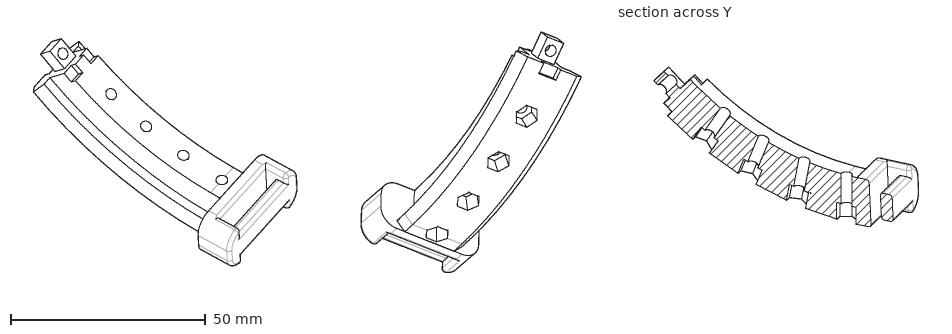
import cadquery as cq
import math

inner_radius = 70.0
strap_height = 14.0
outer_radius = inner_radius + strap_height
web_width = 10.0
flange_width = 20.0
flange_face_width = 15.0
flange_thickness = 5.0
free_end_angle = 40
buckle_angle = -2.5

hole_diameter = 3.0
hole_pitch_angle = 10
hole_count = 4
nut_sides = 6
nut_across_flats = 5.5
nut_pocket_depth = flange_thickness

tenon_length = 6.0
tenon_width = 5.0
tenon_thickness = 4.7
tenon_offset = 4.7

recess_length = 3.0
recess_depth = 2.0
ridge_width = 3.6
pocket_width = 5.2

buckle_length = 10.05
buckle_width = 30.0
buckle_corner_radius = 5.0
window_width = buckle_width - 2 * buckle_corner_radius
window_length = 3.0
window_start = 3.5
bar_drop = 3.0
edge_radius = 1.0

middle_radius = (inner_radius + outer_radius) / 2

clearance = 0.7


def turn_to(shape, angle):
    """Turn a shape made below the sweep axis; positive angles go toward the free end."""
    return shape.rotate((0, 0, 0), (0, 1, 0), angle)


def block(x_start, x_end, width, z_low, z_high, y_center=0):
    """Axis-aligned block, centred across Y on y_center."""
    return (
        cq.Workplane("XY")
        .box(x_end - x_start, width, z_high - z_low, centered=(False, True, False))
        .translate((x_start, y_center, z_low))
    )


def strap():
    """Curved length from the low point to the free end, and a short straight one to the buckle."""
    flange_middle = outer_radius - flange_thickness / 2
    flange_top = outer_radius - flange_thickness
    half_section = [
        (flange_face_width / 2, -outer_radius),
        (flange_width / 2, -flange_middle),
        (flange_face_width / 2, -flange_top),
        (web_width / 2, -flange_top),
        (web_width / 2, -inner_radius),
    ]
    mirrored = [(-y, z) for y, z in reversed(half_section)]
    section = half_section + mirrored
    straight_length = outer_radius * math.sin(math.radians(-buckle_angle))
    curved = cq.Workplane("YZ").polyline(section).close().revolve(free_end_angle, (0, 0), (1, 0))
    straight = cq.Workplane("YZ").polyline(section).close().extrude(straight_length)
    return curved.union(straight)


def screw_hole():
    """Through hole with its nut pocket, corners of the hexagon pointing along Y."""
    nut_across_corners = nut_across_flats / math.cos(math.pi / nut_sides)
    hole = (
        cq.Workplane("XY", origin=(0, 0, -outer_radius - clearance))
        .circle(hole_diameter / 2)
        .extrude(strap_height + 2 * clearance)
    )
    nut_pocket = (
        cq.Workplane("XY", origin=(0, 0, -outer_radius - clearance))
        .transformed(rotate=(0, 0, 90))
        .polygon(nut_sides, nut_across_corners)
        .extrude(nut_pocket_depth + clearance)
    )
    return hole.union(nut_pocket)


def tenon():
    """Cross-drilled block; it starts inside the strap so that the two join solidly."""
    z_low = tenon_offset - outer_radius
    body = block(-tenon_length, clearance, tenon_width, z_low, z_low + tenon_thickness)
    hole = (
        cq.Workplane("XY", origin=(-tenon_length / 2, 0, z_low))
        .circle(hole_diameter / 2)
        .extrude(tenon_thickness)
    )
    return body.cut(hole)


def free_end_recesses():
    """Cutters for the two notches beside the ridge and for the pocket in the outer face."""
    notch_width = (web_width - ridge_width) / 2
    notch_center = (web_width - notch_width) / 2
    notch_floor = -inner_radius - recess_depth
    notch_top = -inner_radius + clearance
    pocket_roof = -outer_radius + recess_depth
    pocket_bottom = -outer_radius - clearance
    recesses = block(-clearance, recess_length, pocket_width, pocket_bottom, pocket_roof)
    for side in (-1, 1):
        y_center = side * notch_center
        notch = block(-clearance, recess_length, notch_width, notch_floor, notch_top, y_center)
        recesses = recesses.union(notch)
    return recesses


def window_cutter():
    """Window with rounded top and bottom rims, mitred where the rims meet at the inner corners."""
    half_height = strap_height / 2
    half_width = window_width / 2
    beyond_end = buckle_length + clearance
    rounding_start = half_height - edge_radius
    along_strap = (
        cq.Workplane("XZ")
        .moveTo(window_start - edge_radius, half_height)
        .radiusArc((window_start, rounding_start), edge_radius)
        .lineTo(window_start, -rounding_start)
        .radiusArc((window_start - edge_radius, -half_height), edge_radius)
        .lineTo(beyond_end, -half_height)
        .lineTo(beyond_end, half_height)
        .close()
        .extrude(buckle_width / 2, both=True)
    )

    corner_center = half_height - buckle_corner_radius
    center_distance = buckle_corner_radius - edge_radius
    rim_center = corner_center + math.sqrt(center_distance**2 - edge_radius**2)
    stretch = buckle_corner_radius / center_distance
    touch_y = half_width + edge_radius * stretch
    touch_z = corner_center + (rim_center - corner_center) * stretch
    across_strap = (
        cq.Workplane("YZ")
        .moveTo(half_width, -rim_center)
        .lineTo(half_width, rim_center)
        .radiusArc((touch_y, touch_z), edge_radius)
        .lineTo(touch_y, half_height)
        .lineTo(-touch_y, half_height)
        .lineTo(-touch_y, touch_z)
        .radiusArc((-half_width, rim_center), edge_radius)
        .lineTo(-half_width, -rim_center)
        .radiusArc((-touch_y, -touch_z), edge_radius)
        .lineTo(-touch_y, -half_height)
        .lineTo(touch_y, -half_height)
        .lineTo(touch_y, -touch_z)
        .radiusArc((half_width, -rim_center), edge_radius)
        .close()
        .extrude(beyond_end)
    )
    return along_strap.intersect(across_strap)


def buckle():
    """Rounded block with a window whose outer bar is set back from both faces."""
    bar_start = window_start + window_length
    bar_height = strap_height - 2 * bar_drop
    half_height = strap_height / 2
    body = block(0, buckle_length, buckle_width, -half_height, half_height)
    body = body.edges("|X").fillet(buckle_corner_radius)
    body = body.cut(window_cutter())
    bar = block(bar_start, buckle_length, window_width, -bar_height / 2, bar_height / 2)
    bar = bar.edges("<X and |Y").fillet(edge_radius)
    body = body.union(bar)
    body = body.faces(">X").edges().fillet(edge_radius)
    return body.translate((0, 0, -middle_radius))


part = strap()
for index in range(hole_count):
    part = part.cut(turn_to(screw_hole(), index * hole_pitch_angle))
part = part.cut(turn_to(free_end_recesses(), free_end_angle))
part = part.union(turn_to(tenon(), free_end_angle))
part = part.union(turn_to(buckle(), buckle_angle))
result = part